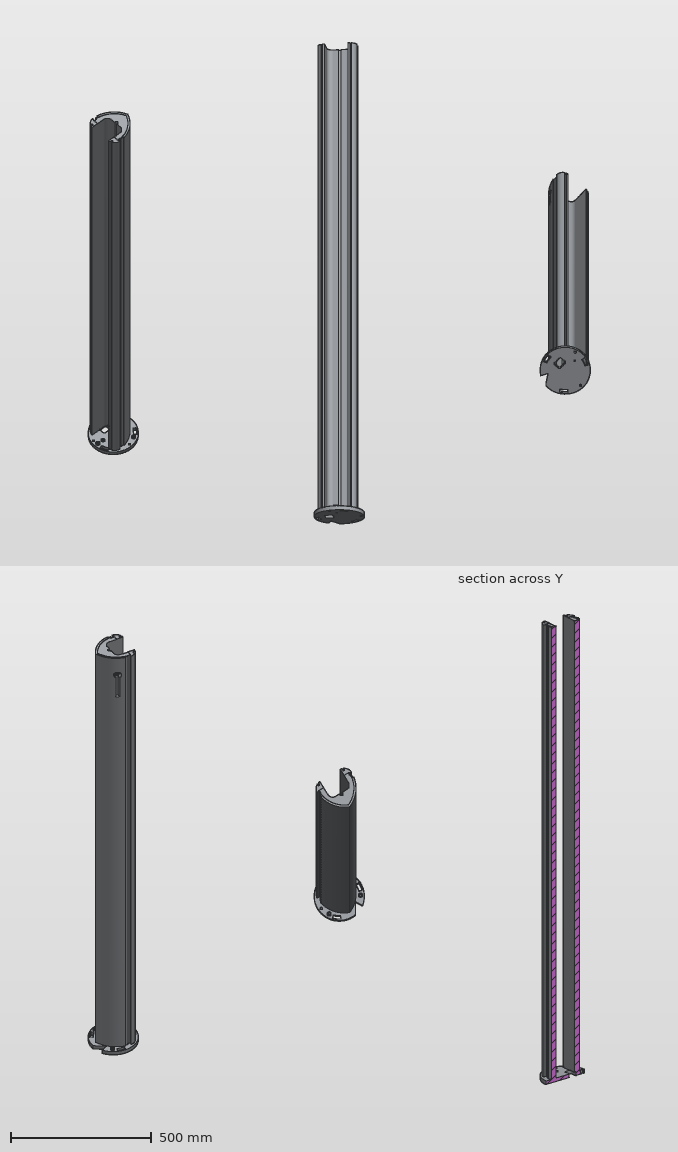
import cadquery as cq
import math

total_height = 1739.0
plate_diameter = 179.0
plate_thickness = 15.0

column_half_width = 71.0
apex_y = 71.0
corner_radius = 30.0
front_y = -63.0
side_center_y = front_y + corner_radius
apex_rise = apex_y - side_center_y
side_radius = (column_half_width**2 + apex_rise**2) / (2 * column_half_width)

channel_half_width = 42.6
channel_back_y = 12.0
channel_corner_radius = 19.0
screw_channel_diameter = 12.0
screw_channel_y = 15.0

groove_back_y = -13.0
groove_step_y = -23.5
groove_front_y = -33.9
groove_step_depth = 5.0
groove_depth = 10.0
lip_slot_x = 52.0
lip_slot_width = 5.0
lip_slot_depth = 10.0

wall_thickness = 7.8
cap_recess = 2.0
cap_front_y = -37.0

keyhole_y = 14.0
keyhole_head_z = 1665.0
keyhole_head_diameter = 25.0
keyhole_slot_width = 12.0
keyhole_bottom_z = 1569.0
keyhole_floor_x = -50.0
keyhole_bore_diameter = 15.0
keyhole_bore_floor_x = -45.0

slot_circle_radius = 78.0
slot_width = 12.0
slot_sweep = 21.0
slot_angles = (52.0, 173.0, 293.0)
screw_circle_radius = 75.6
screw_angles = (30.0, 150.0, 270.0)
screw_head_diameter = 15.0
screw_head_height = 5.0
socket_diameter = 7.8
socket_depth = 4.3
pin_hole_diameter = 7.8
pin_hole_points = [(78.0, 5.0), (-20.0, -77.0)]
anchor_diameter = 15.0
anchor_y = -50.0
anchor_depth = 7.0
anchor_pilot_diameter = 4.3
window_left_x = -49.0
window_right_x = -19.0
window_back_y = 9.0
window_front_y = -26.0
window_corner_radius = 5.0
notch_tip = (-38.0, 49.0)
notch_left = (-55.0, 78.0)
notch_right = (-10.0, 94.0)


def polar(radius, angle):
    turn = math.radians(angle)
    return (radius * math.cos(turn), radius * math.sin(turn))


def box_between(x0, x1, y0, y1, z0, z1):
    block = cq.Workplane("XY").box(abs(x1 - x0), abs(y1 - y0), z1 - z0)
    return block.translate(((x0 + x1) / 2, (y0 + y1) / 2, (z0 + z1) / 2))


def column_outline(inset, bottom_z):
    """Closed column profile, moved inward by the inset."""
    side_x = column_half_width - inset
    radius = side_radius - inset
    center_x = side_radius - column_half_width
    tip_y = side_center_y + math.sqrt(radius**2 - center_x**2)
    half_turn = math.atan2(tip_y - side_center_y, center_x) / 2
    middle_x = radius * math.cos(half_turn) - center_x
    middle_y = side_center_y + radius * math.sin(half_turn)
    round_radius = corner_radius - inset
    round_x = column_half_width - corner_radius
    diagonal = round_radius / math.sqrt(2)
    corner_middle = (round_x + diagonal, side_center_y - diagonal)
    return (
        cq.Workplane("XY", origin=(0, 0, bottom_z))
        .moveTo(0, tip_y)
        .threePointArc((middle_x, middle_y), (side_x, side_center_y))
        .threePointArc(corner_middle, (round_x, front_y + inset))
        .lineTo(-round_x, front_y + inset)
        .threePointArc((-corner_middle[0], corner_middle[1]), (-side_x, side_center_y))
        .threePointArc((-middle_x, middle_y), (0, tip_y))
        .close()
    )


def cut_front_channel(body):
    channel = box_between(
        -channel_half_width,
        channel_half_width,
        -plate_diameter,
        channel_back_y,
        plate_thickness,
        total_height,
    )
    channel = channel.edges("|Z and >Y").fillet(channel_corner_radius)
    screw_channel = (
        cq.Workplane("XY", origin=(0, screw_channel_y, plate_thickness))
        .circle(screw_channel_diameter / 2)
        .extrude(total_height)
    )
    return body.cut(channel).cut(screw_channel)


def cut_flank_grooves(body):
    for side in (-1, 1):
        outer_x = side * plate_diameter
        step_x = side * (column_half_width - groove_step_depth)
        floor_x = side * (column_half_width - groove_depth)
        slot_x = side * lip_slot_x
        step = box_between(step_x, outer_x, groove_front_y, groove_back_y, plate_thickness, total_height)
        deep = box_between(floor_x, outer_x, groove_front_y, groove_step_y, plate_thickness, total_height)
        lip_slot = box_between(
            slot_x - lip_slot_width / 2,
            slot_x + lip_slot_width / 2,
            front_y - lip_slot_depth,
            front_y + lip_slot_depth,
            plate_thickness,
            total_height,
        )
        body = body.cut(step).cut(deep).cut(lip_slot)
    return body


def cut_cap_recess(body):
    recess_z = total_height - cap_recess
    recess = column_outline(wall_thickness, recess_z).extrude(cap_recess)
    cap_zone = box_between(
        -plate_diameter, plate_diameter, cap_front_y, plate_diameter, recess_z, total_height
    )
    return body.cut(recess.intersect(cap_zone))


def cut_keyhole(body):
    slot_height = keyhole_head_z - keyhole_bottom_z
    face = cq.Workplane("YZ", origin=(keyhole_floor_x, 0, 0))
    head = face.center(keyhole_y, keyhole_head_z).circle(keyhole_head_diameter / 2).extrude(-plate_diameter)
    slot = (
        face.center(keyhole_y, keyhole_bottom_z + slot_height / 2)
        .rect(keyhole_slot_width, slot_height)
        .extrude(-plate_diameter)
    )
    bore = (
        cq.Workplane("YZ", origin=(keyhole_bore_floor_x, 0, 0))
        .center(keyhole_y, keyhole_head_z)
        .circle(keyhole_bore_diameter / 2)
        .extrude(-plate_diameter)
    )
    return body.cut(head).cut(slot).cut(bore)


def make_column():
    body = column_outline(0, plate_thickness).extrude(total_height - plate_thickness)
    body = cut_front_channel(body)
    body = cut_flank_grooves(body)
    body = cut_cap_recess(body)
    return cut_keyhole(body)


def arc_slot(middle_angle):
    """Curved slot with square ends, following the rim of the plate."""
    inner = slot_circle_radius - slot_width / 2
    outer = slot_circle_radius + slot_width / 2
    start = middle_angle - slot_sweep / 2
    end = middle_angle + slot_sweep / 2
    return (
        cq.Workplane("XY")
        .moveTo(*polar(inner, start))
        .threePointArc(polar(inner, middle_angle), polar(inner, end))
        .lineTo(*polar(outer, end))
        .threePointArc(polar(outer, middle_angle), polar(outer, start))
        .close()
        .extrude(plate_thickness)
    )


def make_plate():
    plate = cq.Workplane("XY").circle(plate_diameter / 2).extrude(plate_thickness)
    for angle in slot_angles:
        plate = plate.cut(arc_slot(angle))

    notch_outline = [notch_tip, notch_left, notch_right]
    notch = cq.Workplane("XY").polyline(notch_outline).close().extrude(plate_thickness)
    window = box_between(
        window_left_x, window_right_x, window_front_y, window_back_y, 0, plate_thickness
    )
    window = window.edges("|Z").fillet(window_corner_radius)
    pin_holes = (
        cq.Workplane("XY").pushPoints(pin_hole_points).circle(pin_hole_diameter / 2).extrude(plate_thickness)
    )
    anchor = (
        cq.Workplane("XY", origin=(0, anchor_y, plate_thickness - anchor_depth))
        .circle(anchor_diameter / 2)
        .extrude(anchor_depth)
    )
    pilot = (
        cq.Workplane("XY", origin=(0, anchor_y, 0))
        .circle(anchor_pilot_diameter / 2)
        .extrude(plate_thickness)
    )
    return plate.cut(notch).cut(window).cut(pin_holes).cut(anchor).cut(pilot)


def make_screw_heads():
    centers = [polar(screw_circle_radius, angle) for angle in screw_angles]
    top_z = plate_thickness + screw_head_height
    heads = cq.Workplane("XY").pushPoints(centers).circle(screw_head_diameter / 2).extrude(top_z)
    sockets = (
        cq.Workplane("XY", origin=(0, 0, top_z - socket_depth))
        .pushPoints(centers)
        .circle(socket_diameter / 2)
        .extrude(socket_depth)
    )
    return heads.cut(sockets)


result = make_plate().union(make_column()).union(make_screw_heads())